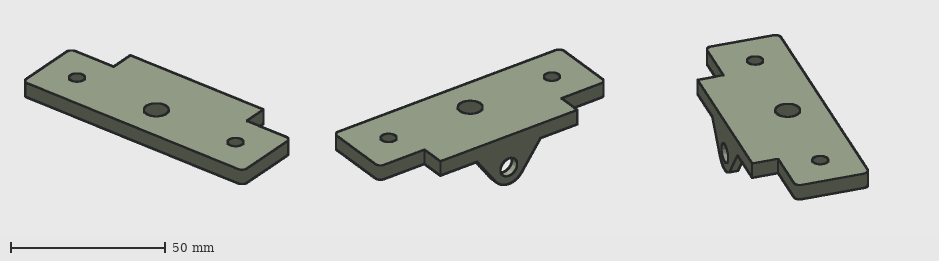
import cadquery as cq
import math

plate_length = 90.4
plate_left = -45.0
plate_depth = 25.3
plate_thickness = 5.5
corner_radius = 2.0

total_depth = 34.17
tab_width = 54.6

hole_y = plate_depth / 2
center_hole_diameter = 8.1
side_hole_diameter = 5.21
side_hole_spacing = 65.0

total_height = 18.4
lug_thickness = 3.0
lug_top_width = 25.2
lug_tip_radius = 6.4
lug_hole_diameter = 6.6
lug_hole_z = lug_tip_radius - total_height


def make_plate():
    """Plate with rounded corners, merged with its back tab."""
    plate = (
        cq.Workplane("XY")
        .box(plate_length, plate_depth, plate_thickness, centered=False)
        .edges("|Z")
        .fillet(corner_radius)
        .translate((plate_left, 0, -plate_thickness))
    )
    tab = (
        cq.Workplane("XY")
        .box(tab_width, total_depth - hole_y, plate_thickness, centered=False)
        .translate((-tab_width / 2, hole_y, -plate_thickness))
    )
    return plate.union(tab)


def make_lug():
    """Tapered lug whose straight flanks run tangent to its round tip."""
    half_width = lug_top_width / 2
    rise = -plate_thickness - lug_hole_z
    corner_angle = math.atan2(rise, half_width)
    tangent_angle = corner_angle - math.acos(lug_tip_radius / math.hypot(half_width, rise))
    tangent_x = lug_tip_radius * math.cos(tangent_angle)
    tangent_z = lug_hole_z + lug_tip_radius * math.sin(tangent_angle)

    return (
        cq.Workplane("XZ", origin=(0, total_depth, 0))
        .moveTo(-half_width, -plate_thickness)
        .lineTo(-tangent_x, tangent_z)
        .threePointArc((0, -total_height), (tangent_x, tangent_z))
        .lineTo(half_width, -plate_thickness)
        .close()
        .extrude(lug_thickness)
        .cut(
            cq.Workplane("XZ", origin=(0, total_depth, lug_hole_z))
            .circle(lug_hole_diameter / 2)
            .extrude(lug_thickness)
        )
    )


def plate_hole(x, diameter):
    """Cutting cylinder for a through hole in the plate."""
    return (
        cq.Workplane("XY", origin=(x, hole_y, -plate_thickness))
        .circle(diameter / 2)
        .extrude(plate_thickness)
    )


result = make_plate().union(make_lug())
result = result.cut(plate_hole(0, center_hole_diameter))
for side in (-1, 1):
    result = result.cut(plate_hole(side * side_hole_spacing / 2, side_hole_diameter))